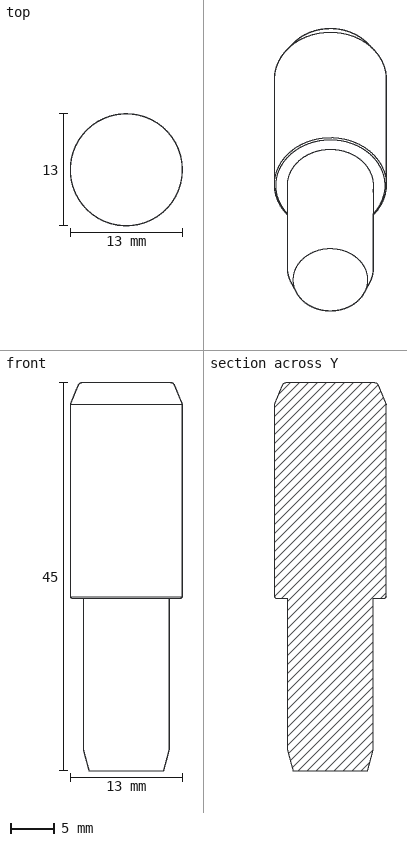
import cadquery as cq
import math

total_length = 45.0
head_diameter = 13.0
head_length = 25.0
shank_diameter = 10.0
taper_length = 2.5
head_taper_angle = 22.5
shank_taper_angle = 15.0
top_edge_radius = 0.5
shoulder_chamfer = 0.2

head_radius = head_diameter / 2
shank_radius = shank_diameter / 2
shoulder_z = total_length - head_length
head_tip_radius = head_radius - taper_length * math.tan(math.radians(head_taper_angle))
shank_tip_radius = shank_radius - taper_length * math.tan(math.radians(shank_taper_angle))

pin = (
    cq.Workplane("XZ")
    .moveTo(0, 0)
    .lineTo(shank_tip_radius, 0)
    .lineTo(shank_radius, taper_length)
    .lineTo(shank_radius, shoulder_z)
    .lineTo(head_radius - shoulder_chamfer, shoulder_z)
    .lineTo(head_radius, shoulder_z + shoulder_chamfer)
    .lineTo(head_radius, total_length - taper_length)
    .lineTo(head_tip_radius, total_length)
    .lineTo(0, total_length)
    .close()
    .revolve(360, (0, 0, 0), (0, 1, 0))
)

result = pin.faces(">Z").edges().fillet(top_edge_radius)